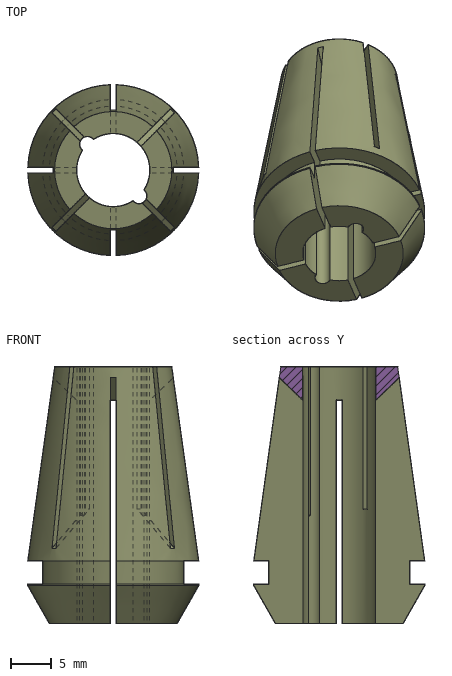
import cadquery as cq

height = 31.5
max_radius = 10.5

nose_radius = 7.85
rim_bottom = 4.65
rim_top = 4.85
groove_top = 7.7
groove_radius = 8.65
top_radius = 7.18

bore_radius = 4.47
relief_radius = 0.95
relief_angles = (135, 315)

slit_width = 0.7
slit_reach = max_radius + 0.3
lower_slit_bore_z = 27.37
lower_slit_outer_z = 30.15
upper_slit_bore_z = 14.05
upper_slit_outer_z = 9.23


def cone_radius(z):
    """Outer radius of the upper taper at height z."""
    taper = (max_radius - top_radius) / (height - groove_top)
    return max_radius - taper * (z - groove_top)


def collet_body():
    """Tapered body with a locking groove and a conical nose."""
    profile = [
        (0, 0),
        (nose_radius, 0),
        (max_radius, rim_bottom),
        (max_radius, rim_top),
        (groove_radius, rim_top),
        (groove_radius, groove_top),
        (max_radius, groove_top),
        (top_radius, height),
        (0, height),
    ]
    return cq.Workplane("XZ").polyline(profile).close().revolve(360, (0, 0), (0, 1))


def slit(open_z, bore_z, outer_z, angle):
    """Radial slit open at open_z, whose sloping end runs from bore_z to outer_z."""
    slope = (outer_z - bore_z) / (cone_radius(outer_z) - bore_radius)
    axis_z = bore_z - slope * bore_radius
    reach_z = bore_z + slope * (slit_reach - bore_radius)
    outline = [(0, open_z), (slit_reach, open_z), (slit_reach, reach_z), (0, axis_z)]
    cutter = cq.Workplane("XZ").polyline(outline).close().extrude(slit_width / 2, both=True)
    return cutter.rotate((0, 0, 0), (0, 0, 1), angle)


result = collet_body()

result = result.cut(cq.Workplane("XY").circle(bore_radius).extrude(height))
for relief_angle in relief_angles:
    relief = cq.Workplane("XY").center(bore_radius, 0).circle(relief_radius).extrude(height)
    result = result.cut(relief.rotate((0, 0, 0), (0, 0, 1), relief_angle))

for quarter_angle in (0, 90, 180, 270):
    result = result.cut(slit(0, lower_slit_bore_z, lower_slit_outer_z, quarter_angle))
    result = result.cut(slit(height, upper_slit_bore_z, upper_slit_outer_z, quarter_angle + 45))